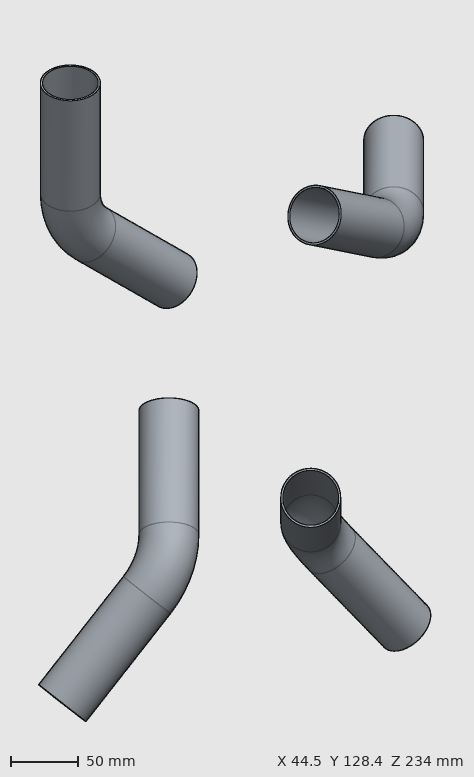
import cadquery as cq
import math

overall_height = 234.0
outer_diameter = 44.5
inner_diameter = 41.2
bend_radius = 63.5
bend_angle = 45.0

angle = math.radians(bend_angle)
bend_height = (bend_radius + outer_diameter / 2) * math.sin(angle)
leg_length = (overall_height - bend_height) / (1 + math.cos(angle))


def bend_point(turn):
    """Centreline point (Y, Z) after turning through an angle in radians."""
    return bend_radius * (1 - math.cos(turn)), -bend_radius * math.sin(turn)


bend_end = bend_point(angle)
leg_end = (
    bend_end[0] + leg_length * math.sin(angle),
    bend_end[1] - leg_length * math.cos(angle),
)
centreline = (
    cq.Workplane("YZ")
    .moveTo(0, leg_length)
    .lineTo(0, 0)
    .threePointArc(bend_point(angle / 2), bend_end)
    .lineTo(*leg_end)
)

result = (
    cq.Workplane("XY", origin=(0, 0, leg_length))
    .circle(outer_diameter / 2)
    .circle(inner_diameter / 2)
    .sweep(centreline)
)